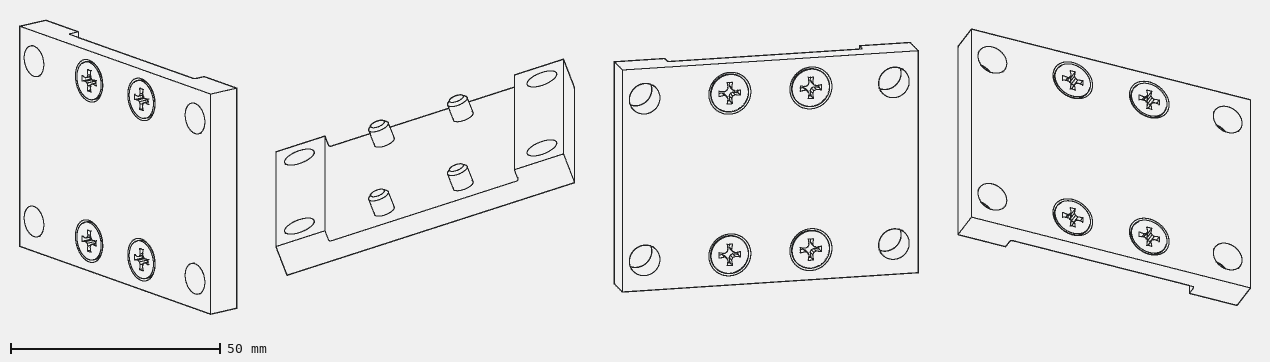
import cadquery as cq
import math

plate_length = 73.0
plate_height = 55.0
plate_thickness = 8.0

channel_width = 48.0
channel_depth = 3.0
channel_fillet = 0.5

mount_hole_diameter = 7.5
mount_hole_edge_distance = 5.5
mount_hole_spacing = 61.55

screw_spacing = 20.0
row_spacing = 40.0
screw_length = 10.0
shank_diameter = 5.05
tip_chamfer = 0.7
head_diameter = 9.3
countersink_diameter = 10.4
countersink_angle = 90.0

recess_reach = 2.6
recess_end_half_width = 0.65
recess_waist_half_width = 0.45
recess_waist_distance = 1.3
recess_corner_offset = 0.7
recess_depth = 2.5

cone_slope = math.tan(math.radians(countersink_angle / 2))
countersink_depth = (countersink_diameter - shank_diameter) / 2 / cone_slope
head_rim_height = (countersink_diameter - head_diameter) / 2 / cone_slope

rows = [-row_spacing / 2, row_spacing / 2]
mount_hole_left_x = mount_hole_edge_distance - plate_length / 2
mount_hole_columns = [mount_hole_left_x, mount_hole_left_x + mount_hole_spacing]
screw_columns = [-screw_spacing / 2, screw_spacing / 2]
screw_places = [(x, z) for x in screw_columns for z in rows]


def revolve_about_y(profile):
    """Revolve a closed (radius, y) profile about the Y axis."""
    return cq.Workplane("XY").polyline(profile).close().revolve(360, (0, 0, 0), (0, 1, 0))


def cylinder_along_y(diameter, length, x, z):
    """Cylinder from the front face plane towards +Y."""
    return cq.Workplane("XZ").center(x, z).circle(diameter / 2).extrude(-length)


def make_channel():
    """Block that cuts the channel, with rounded floor corners."""
    block = cq.Workplane("XY").box(channel_width, channel_depth, plate_height, centered=(True, False, True))
    block = block.faces("<Y").edges("|Z").fillet(channel_fillet)
    return block.translate((0, plate_thickness - channel_depth, 0))


def make_screw_hole():
    """Countersink at the front face, then a straight hole as wide as the shank."""
    shank_radius = shank_diameter / 2
    return revolve_about_y([
        (0, 0),
        (countersink_diameter / 2, 0),
        (shank_radius, countersink_depth),
        (shank_radius, plate_thickness),
        (0, plate_thickness),
    ])


def make_plate():
    plate = cq.Workplane("XY").box(
        plate_length, plate_thickness, plate_height, centered=(True, False, True)
    )
    plate = plate.cut(make_channel())
    for x in mount_hole_columns:
        for z in rows:
            plate = plate.cut(cylinder_along_y(mount_hole_diameter, plate_thickness, x, z))
    for x, z in screw_places:
        plate = plate.cut(make_screw_hole().translate((x, 0, z)))
    return plate


def make_cross_recess():
    """Cross whose arms narrow from their ends to a waist, with inner corners of two facets."""
    arm = [
        (recess_waist_distance, -recess_waist_half_width),
        (recess_reach, -recess_end_half_width),
        (recess_reach, recess_end_half_width),
        (recess_waist_distance, recess_waist_half_width),
        (recess_corner_offset, recess_corner_offset),
    ]
    outline = []
    for quarter_turn in range(4):
        angle = quarter_turn * math.pi / 2
        cosine = math.cos(angle)
        sine = math.sin(angle)
        outline += [(x * cosine - z * sine, x * sine + z * cosine) for x, z in arm]
    return cq.Workplane("XZ").polyline(outline).close().extrude(-recess_depth)


def make_screw(x, z):
    """Countersunk screw, head flush with the front face, cone seated in the plate."""
    head_radius = head_diameter / 2
    shank_radius = shank_diameter / 2
    screw = revolve_about_y([
        (0, 0),
        (head_radius, 0),
        (head_radius, head_rim_height),
        (shank_radius, countersink_depth),
        (shank_radius, screw_length - tip_chamfer),
        (shank_radius - tip_chamfer, screw_length),
        (0, screw_length),
    ])
    return screw.cut(make_cross_recess()).translate((x, 0, z))


plate = make_plate()
screws = [make_screw(x, z) for x, z in screw_places]

result = cq.Compound.makeCompound([plate.val(), *[screw.val() for screw in screws]])